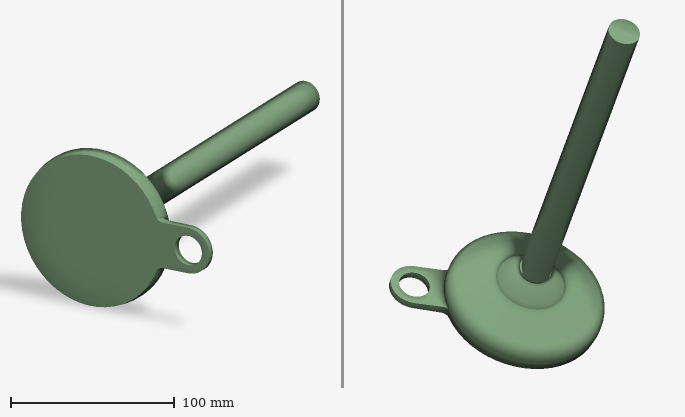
import cadquery as cq
import math

overall_length = 265.0
overall_width = 133.0

base_diameter = 100.0
base_radius = base_diameter / 2
underside_radius = 49.0
band_bottom = 5.5
band_top = 8.7
shoulder_radius = 8.0
cone_angle = math.radians(19)
crown_radius = 21.7
seat_radius = 20.5
seat_height = 25.7

lug_radius = 14.8
lug_hole_diameter = 19.0
lug_fillet = 5.0
lug_tip_thickness = 4.2
lug_tip = overall_width - base_radius
lug_center = lug_tip - lug_radius

spindle_diameter = 20.0
spindle_radius = spindle_diameter / 2
spindle_bottom = 33.7
chamfer_inset = 0.8
chamfer_height = 1.5
dome_top_radius = 10.3
dome_bulge = 0.8
flat_bottom = 36.8
flat_length = 11.5
across_flats = 16.7


def revolve_about_y(profile):
    return profile.close().revolve(360, (0, 0, 0), (0, 1, 0))


def make_base_disc():
    """Drafted disc with a rounded shoulder, conical top and flat seat."""
    arc_center_r = base_radius - shoulder_radius
    cone_start = (
        arc_center_r + shoulder_radius * math.sin(cone_angle),
        band_top + shoulder_radius * math.cos(cone_angle),
    )
    arc_mid_angle = (math.pi / 2 - cone_angle) / 2
    arc_mid = (
        arc_center_r + shoulder_radius * math.cos(arc_mid_angle),
        band_top + shoulder_radius * math.sin(arc_mid_angle),
    )
    crown_height = cone_start[1] + (cone_start[0] - crown_radius) * math.tan(cone_angle)
    return revolve_about_y(
        cq.Workplane("XY")
        .lineTo(underside_radius, 0)
        .lineTo(base_radius, band_bottom)
        .lineTo(base_radius, band_top)
        .threePointArc(arc_mid, cone_start)
        .lineTo(crown_radius, crown_height)
        .lineTo(seat_radius, seat_height)
        .lineTo(0, seat_height)
    )


def make_lug():
    """Round-ended lug, thinning to its tip, with fillets tangent to the underside circle."""
    fillet_z = lug_radius + lug_fillet
    fillet_x = math.sqrt((underside_radius + lug_fillet) ** 2 - fillet_z**2)
    fillet_angle = math.atan2(fillet_z, fillet_x)
    root_x = underside_radius * math.cos(fillet_angle)
    root_z = underside_radius * math.sin(fillet_angle)
    mid_angle = (fillet_angle + math.pi + 1.5 * math.pi) / 2
    mid_x = fillet_x + lug_fillet * math.cos(mid_angle)
    mid_z = fillet_z + lug_fillet * math.sin(mid_angle)
    plan = (
        cq.Workplane("XZ")
        .moveTo(0, root_z)
        .lineTo(root_x, root_z)
        .threePointArc((mid_x, mid_z), (fillet_x, lug_radius))
        .lineTo(lug_center, lug_radius)
        .threePointArc((lug_tip, 0), (lug_center, -lug_radius))
        .lineTo(fillet_x, -lug_radius)
        .threePointArc((mid_x, -mid_z), (root_x, -root_z))
        .lineTo(0, -root_z)
        .close()
        .extrude(-band_bottom)
    )
    wedge = (
        cq.Workplane("XY")
        .lineTo(0, band_bottom)
        .lineTo(root_x, band_bottom)
        .lineTo(lug_tip, lug_tip_thickness)
        .lineTo(lug_tip, 0)
        .close()
        .extrude(root_z, both=True)
    )
    hole = (
        cq.Workplane("XZ")
        .center(lug_center, 0)
        .circle(lug_hole_diameter / 2)
        .extrude(-band_bottom)
    )
    return plan.intersect(wedge).cut(hole)


def make_base():
    return make_base_disc().union(make_lug())


def make_spindle():
    """Round rod with a domed foot resting on the base and two wrench flats."""
    drop = spindle_bottom - seat_height
    spread = seat_radius - dome_top_radius
    chord = math.hypot(drop, spread)
    dome_mid = (
        (dome_top_radius + seat_radius) / 2 + dome_bulge * drop / chord,
        (spindle_bottom + seat_height) / 2 + dome_bulge * spread / chord,
    )
    spindle = revolve_about_y(
        cq.Workplane("XY")
        .moveTo(0, seat_height)
        .lineTo(seat_radius, seat_height)
        .threePointArc(dome_mid, (dome_top_radius, spindle_bottom))
        .lineTo(spindle_radius - chamfer_inset, spindle_bottom)
        .lineTo(spindle_radius, spindle_bottom + chamfer_height)
        .lineTo(spindle_radius, overall_length)
        .lineTo(0, overall_length)
    )
    for side in (-1, 1):
        flat_cutter = cq.Workplane("XY").box(spindle_radius, flat_length, spindle_diameter)
        offset = side * (across_flats + spindle_radius) / 2
        spindle = spindle.cut(flat_cutter.translate((offset, flat_bottom + flat_length / 2, 0)))
    return spindle


base = make_base()
spindle = make_spindle()

result = cq.Compound.makeCompound([base.solids().val(), spindle.solids().val()])